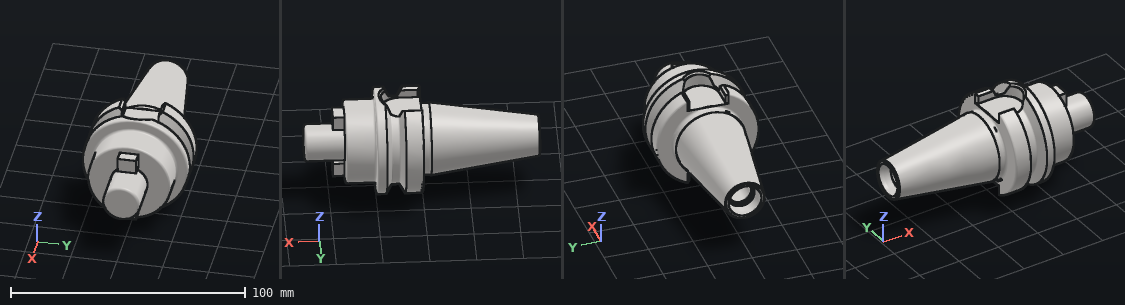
import cadquery as cq
import math

TOTAL_LENGTH = 100.4

TAPER_SLOPE = 7 / 48
TAPER_LENGTH = 46.7
TAPER_END_RADIUS = 8.8
TAPER_BIG_RADIUS = TAPER_END_RADIUS + TAPER_LENGTH * TAPER_SLOPE
TAPER_END_CHAMFER = 0.3
NECK_START = 47.6
NECK_RADIUS = 15.4
NECK_FILLET = 1.1

FLANGE_RADIUS = 23.0
FLANGE_START = 50.4
FLANGE_END = 70.3
FLANGE_FILLET = 0.9
GROOVE_START = 57.9
GROOVE_END = 66.1
GROOVE_RADIUS = 18.9
GROOVE_WALL_ANGLE = 30.0
GROOVE_FILLET = 0.6

SIDES = (1, -1)

HUB_RADIUS = 18.0
HUB_END = 83.3
HUB_END_FILLET = 0.9
HUB_FILLET = 1.1
PILOT_RADIUS = 8.0
PILOT_FILLET = 1.2
KEY_END = 88.4
KEY_WIDTH = 8.0
KEY_INNER = 8.6
KEY_OUTER = 15.0

SLOT_HALF_WIDTH = 8.0
SLOT_FLOOR = 16.2
SLOT_ARC_CENTRE = 59.5
SLOT_RIM_CHAMFER = 1.0
SLOT_SIDE_CHAMFER_WIDTH = 1.6
SLOT_SIDE_CHAMFER_BOTTOM = 19.9
SLOT_SIDE_CHAMFER_ANGLE = 36.0
SLOT_ENTRY_CHAMFER_WIDTH = 1.2
SLOT_ENTRY_CHAMFER_DEPTH = 1.0

BORE_MOUTH_RADIUS = 7.3
RECESS_RADIUS = 7.0
RECESS_DEPTH = 2.3
CONE_END_RADIUS = 6.2
CONE_END_DEPTH = 4.7
RELIEF_RADIUS = 5.9
RELIEF_START = 5.2
RELIEF_END = 6.8
THREAD_RADIUS = 5.1
THREAD_START = 7.2
THREAD_DEPTH = 30.1
DRILL_POINT_ANGLE = 118.0


def turn(outline):
    """Revolve an (x, radius) outline about the X axis."""
    return outline.close().revolve(360, (0, 0, 0), (1, 0, 0))


def to_side(upper_tool, side):
    """Keep a +Z tool in place, or mirror it to the -Z side."""
    return upper_tool if side > 0 else upper_tool.mirror("XY")


def shank():
    taper = cq.Workplane("XY").moveTo(0, 0)
    taper = taper.lineTo(0, TAPER_END_RADIUS - TAPER_END_CHAMFER)
    taper = taper.lineTo(TAPER_END_CHAMFER, TAPER_END_RADIUS + TAPER_END_CHAMFER * TAPER_SLOPE)
    taper = taper.lineTo(TAPER_LENGTH, TAPER_BIG_RADIUS)
    taper = taper.lineTo(NECK_START, NECK_RADIUS)
    taper = taper.lineTo(FLANGE_START - NECK_FILLET, NECK_RADIUS)
    taper = taper.radiusArc((FLANGE_START, NECK_RADIUS + NECK_FILLET), -NECK_FILLET)
    taper = taper.lineTo(FLANGE_START, 0)
    return turn(taper)


def flange_blank():
    blank = cq.Workplane("YZ", origin=(FLANGE_START, 0, 0)).circle(FLANGE_RADIUS)
    return blank.extrude(FLANGE_END - FLANGE_START)


def slot_cutter():
    """U-shaped upper slot, open at the shank face, with flared entry corners."""
    entry_half_width = SLOT_HALF_WIDTH + SLOT_ENTRY_CHAMFER_WIDTH
    entry_end = FLANGE_START + SLOT_ENTRY_CHAMFER_DEPTH
    return (
        cq.Workplane("XY", origin=(0, 0, SLOT_FLOOR))
        .moveTo(FLANGE_START, -entry_half_width)
        .lineTo(entry_end, -SLOT_HALF_WIDTH)
        .lineTo(SLOT_ARC_CENTRE, -SLOT_HALF_WIDTH)
        .radiusArc((SLOT_ARC_CENTRE, SLOT_HALF_WIDTH), -SLOT_HALF_WIDTH)
        .lineTo(entry_end, SLOT_HALF_WIDTH)
        .lineTo(FLANGE_START, entry_half_width)
        .close()
        .extrude(FLANGE_RADIUS)
    )


def slot_side_bevel():
    """Prism that bevels the outer edges of both straight slot walls."""
    rise = math.tan(math.radians(SLOT_SIDE_CHAMFER_ANGLE))
    outer_half_width = SLOT_HALF_WIDTH + SLOT_SIDE_CHAMFER_WIDTH
    bevel_top = SLOT_SIDE_CHAMFER_BOTTOM + SLOT_SIDE_CHAMFER_WIDTH * rise
    return (
        cq.Workplane("YZ", origin=(FLANGE_START, 0, 0))
        .moveTo(-SLOT_HALF_WIDTH, SLOT_SIDE_CHAMFER_BOTTOM)
        .lineTo(SLOT_HALF_WIDTH, SLOT_SIDE_CHAMFER_BOTTOM)
        .lineTo(outer_half_width, bevel_top)
        .lineTo(outer_half_width, FLANGE_RADIUS)
        .lineTo(-outer_half_width, FLANGE_RADIUS)
        .lineTo(-outer_half_width, bevel_top)
        .close()
        .extrude(SLOT_ARC_CENTRE - FLANGE_START)
    )


def slotted_flange():
    flange = flange_blank()
    rounded_blank = flange.edges().fillet(FLANGE_FILLET)
    for side in SIDES:
        flange = flange.cut(to_side(slot_cutter(), side))
    for side in SIDES:
        arc_end = cq.selectors.NearestToPointSelector(
            (SLOT_ARC_CENTRE + SLOT_HALF_WIDTH, 0, side * FLANGE_RADIUS)
        )
        flange = flange.edges(arc_end).chamfer(SLOT_RIM_CHAMFER)
    for side in SIDES:
        flange = flange.cut(to_side(slot_side_bevel(), side))
    return flange.cut(groove()).intersect(rounded_blank)


def groove():
    wall_run = (FLANGE_RADIUS - GROOVE_RADIUS) * math.tan(math.radians(GROOVE_WALL_ANGLE))
    ring = (
        cq.Workplane("XY")
        .moveTo(GROOVE_START, FLANGE_RADIUS)
        .lineTo(GROOVE_START + wall_run, GROOVE_RADIUS)
        .lineTo(GROOVE_END - wall_run, GROOVE_RADIUS)
        .lineTo(GROOVE_END, FLANGE_RADIUS)
    )
    floor = cq.selectors.RadiusNthSelector(0)
    return turn(ring).edges(floor).fillet(GROOVE_FILLET)


def hub():
    profile = cq.Workplane("XY").moveTo(FLANGE_END, 0)
    profile = profile.lineTo(FLANGE_END, HUB_RADIUS + HUB_FILLET)
    profile = profile.radiusArc((FLANGE_END + HUB_FILLET, HUB_RADIUS), -HUB_FILLET)
    profile = profile.lineTo(HUB_END - HUB_END_FILLET, HUB_RADIUS)
    profile = profile.radiusArc((HUB_END, HUB_RADIUS - HUB_END_FILLET), HUB_END_FILLET)
    profile = profile.lineTo(HUB_END, PILOT_RADIUS)
    profile = profile.lineTo(TOTAL_LENGTH - PILOT_FILLET, PILOT_RADIUS)
    profile = profile.radiusArc((TOTAL_LENGTH, PILOT_RADIUS - PILOT_FILLET), PILOT_FILLET)
    profile = profile.lineTo(TOTAL_LENGTH, 0)
    return turn(profile)


def key(side):
    height = KEY_OUTER - KEY_INNER
    middle = side * (KEY_OUTER + KEY_INNER) / 2
    return (
        cq.Workplane("YZ", origin=(HUB_END, 0, middle))
        .rect(KEY_WIDTH, height)
        .extrude(KEY_END - HUB_END)
    )


def bore():
    point_length = THREAD_RADIUS / math.tan(math.radians(DRILL_POINT_ANGLE / 2))
    profile = (
        cq.Workplane("XY")
        .moveTo(0, 0)
        .lineTo(0, BORE_MOUTH_RADIUS)
        .lineTo(RECESS_DEPTH, RECESS_RADIUS)
        .lineTo(CONE_END_DEPTH, CONE_END_RADIUS)
        .lineTo(RELIEF_START, RELIEF_RADIUS)
        .lineTo(RELIEF_END, RELIEF_RADIUS)
        .lineTo(THREAD_START, THREAD_RADIUS)
        .lineTo(THREAD_DEPTH, THREAD_RADIUS)
        .lineTo(THREAD_DEPTH + point_length, 0)
    )
    return turn(profile)


result = shank().union(slotted_flange()).union(hub())
for side in SIDES:
    result = result.union(key(side))
result = result.cut(bore())